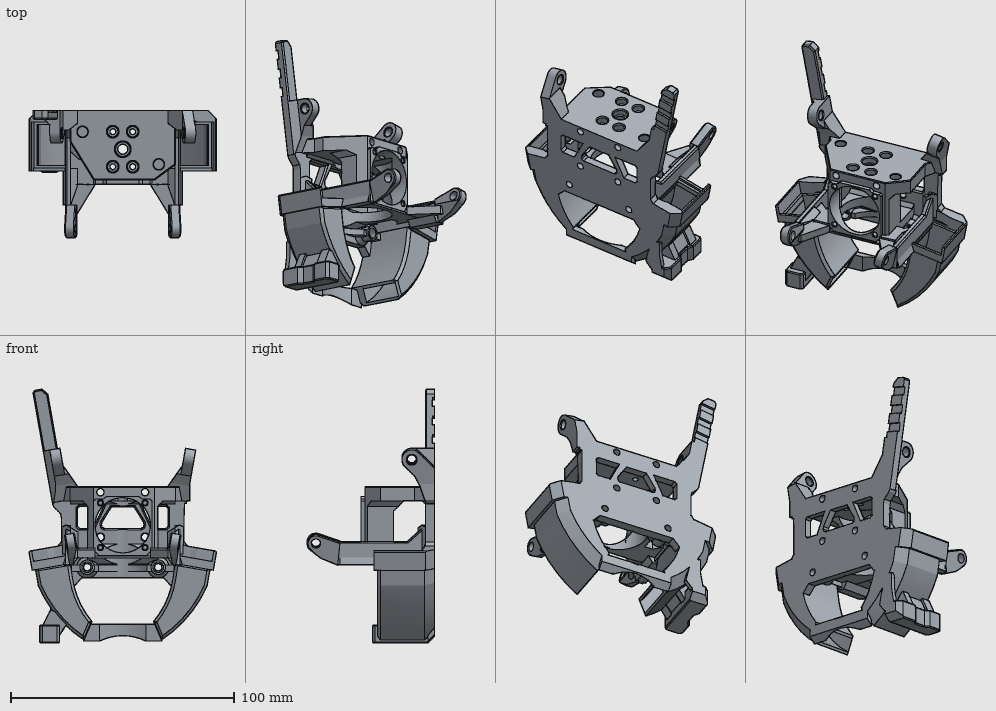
import cadquery as cq
import math


TILT = 10.0
PLATE_FRONT = -4.15
PLATE_HALF_WIDTH = 27.5
PLATE_BOTTOM = 29.2
ROOF_TOP = 70.2
ROOF_BOTTOM = 63.7
FACE_Y = -31.2
FRAME_Y = -33.0
HOUSING_HALF_WIDTH = 15.7
HOUSING_REAR = -18.3
DECK_BOTTOM = 38.2
DECK_TOP = 42.6
DECK_NOSE_Y = -33.3
DECK_NOSE_HALF_WIDTH = 12.4
HEATSINK_DIAMETER = 27.0
HEATSINK_Y = -17.4

FAN_CENTRE_Z = 52.8
FAN_BORE = 24.7
FAN_HOLE_HALF_PITCH = 10.0
SCREW_CLEARANCE = 3.2
UPPER_SCREW_Z = 67.6
LOWER_SCREW_Z = 47.5
INSERT_BORE = 4.7
WINDOW_CHAMFER = 0.7

ARM_OUTER = 25.7
ARM_INNER = 23.3
ARM_TIP_Y = -53.1
ARM_TIP_Z = 45.0
ARM_TIP_RADIUS = 4.01
PIVOT_HOLE = 4.1

RAIL_FOOT = (-31.4, 62.1)
RAIL_WIDTH = 6.5
RAIL_LENGTH = 51.74
RAIL_THICKNESS = 4.1

COLLAR_CORNER = (-42.09, 41.2)
COLLAR_WIDTH = 15.7
COLLAR_HEIGHT = 8.7
COLLAR_FRONT = -27.2
COLLAR_WALL = 1.3
DUCT_FRONT = -25.6
DUCT_WALL = 1.3
CAVITY_REAR = -6.4
CAVITY_FRONT = -24.6


def prism_y(points, front, rear=0.0):
    """Extrude an X-Z polygon from Y = rear forward to Y = front."""
    plane = cq.Workplane("XZ", origin=(0, rear, 0))
    return plane.polyline(points).close().extrude(rear - front)


def prism_z(points, bottom, top):
    """Extrude an X-Y polygon between two heights."""
    plane = cq.Workplane("XY", origin=(0, 0, bottom))
    return plane.polyline(points).close().extrude(top - bottom)


def prism_x(points, left, right):
    """Extrude a Y-Z polygon between two X positions."""
    plane = cq.Workplane("YZ", origin=(left, 0, 0))
    return plane.polyline(points).close().extrude(right - left)


def block(x_range, y_range, z_range):
    """Axis-aligned box given by its limits."""
    size = [abs(b - a) for a, b in (x_range, y_range, z_range)]
    corner = (min(x_range), min(y_range), min(z_range))
    return cq.Workplane("XY").box(*size, centered=False).translate(corner)


def cylinder_y(x, z, diameter, front, rear=0.0):
    return cq.Workplane("XZ", origin=(x, rear, z)).circle(diameter / 2).extrude(rear - front)


def cylinder_z(x, y, diameter, bottom, top):
    return cq.Workplane("XY", origin=(x, y, bottom)).circle(diameter / 2).extrude(top - bottom)


def cone_y(x, z, base_diameter, base_y, tip_diameter, tip_y):
    """Cone frustum along Y between two circles."""
    plane = cq.Workplane("XZ", origin=(x, base_y, z)).circle(base_diameter / 2)
    return plane.workplane(offset=base_y - tip_y).circle(tip_diameter / 2).loft()


def cone_z(x, y, bottom_diameter, bottom, top_diameter, top):
    """Cone frustum along Z between two circles."""
    plane = cq.Workplane("XY", origin=(x, y, bottom)).circle(bottom_diameter / 2)
    return plane.workplane(offset=top - bottom).circle(top_diameter / 2).loft()


def lean(body, pivot):
    """Place a body built at a local origin on an X-Z pivot, leaning toward -X."""
    return body.rotate((0, 0, 0), (0, 1, 0), -TILT).translate((pivot[0], 0, pivot[1]))


def mirrored(points):
    """Complete a symmetric outline from the points of its -X half."""
    return points + [(-x, y) for x, y in reversed(points)]


def both_sides(body):
    return body.union(body.mirror("YZ"))


def plate_window(points):
    """Cutter for a plate window with a chamfered front rim."""
    hole = prism_y(points, PLATE_FRONT)
    rim_plane = cq.Workplane("XZ", origin=(0, PLATE_FRONT, 0))
    rim = rim_plane.polyline(points).close().offset2D(WINDOW_CHAMFER, "intersection")
    return hole.union(rim.extrude(-WINDOW_CHAMFER, taper=45))


def rear_plate():
    outline = mirrored([
        (-17.0, PLATE_BOTTOM), (-18.4, PLATE_BOTTOM), (-21.7, 25.5), (-29.0, 30.0), (-29.0, 43.5),
        (-PLATE_HALF_WIDTH, 45.4), (-PLATE_HALF_WIDTH, 56.2), (-27.7, 62.4), (-29.0, 64.1),
        (-27.0, ROOF_TOP),
    ])
    plate = prism_y(outline, PLATE_FRONT)
    rail_corner = [RAIL_FOOT, (-27.0, 68.0), (-26.0, 56.2), (-PLATE_HALF_WIDTH, 56.2),
                   (-27.9, 58.0), (-30.7, 60.8)]
    plate = plate.union(prism_y(rail_corner, PLATE_FRONT))
    side_window = [(-19.3, 61.3), (-8.6, 61.3), (-13.3, 51.3), (-19.3, 51.3), (-20.3, 52.3), (-20.3, 60.3)]
    mirrored_window = [(-x, z) for x, z in reversed(side_window)]
    middle_window = mirrored([(-5.0, 61.0), (-9.3, 54.2), (-9.5, 53.0), (-9.2, 52.0), (-8.2, 51.4)])
    for window in (side_window, mirrored_window, middle_window):
        plate = plate.cut(plate_window(window))
    strip = 1.3
    sloped_strip = [(PLATE_FRONT, ROOF_BOTTOM), (PLATE_FRONT, ROOF_BOTTOM - strip),
                    (PLATE_FRONT - strip, ROOF_BOTTOM)]
    strip_half_length = 23.3
    return plate.union(prism_x(sloped_strip, -strip_half_length, strip_half_length))


def bottom_beam():
    """Cross beam low on the plate, with a sloped gusset under the deck."""
    beam_front = -9.5
    beam_bottom = 32.2
    beam_top = 35.0
    half_length = 22.9
    beam = block((-half_length, half_length), (PLATE_FRONT, beam_front), (beam_bottom, beam_top))
    gusset = 2.8
    slope = [(PLATE_FRONT, DECK_BOTTOM), (PLATE_FRONT, DECK_BOTTOM - gusset),
             (PLATE_FRONT - gusset, DECK_BOTTOM)]
    return beam.union(prism_x(slope, -HOUSING_HALF_WIDTH, HOUSING_HALF_WIDTH))


BOSS_X = 15.9
BOSS_Z = 34.0
BOSS_FRONT = -10.5
BOSS_DIAMETER = 6.5


def beam_boss(x):
    cone_end = -6.2
    base = cone_y(x, BOSS_Z, 2 * (BOSS_Z - PLATE_BOTTOM), PLATE_FRONT, BOSS_DIAMETER, cone_end)
    return base.union(cylinder_y(x, BOSS_Z, BOSS_DIAMETER, BOSS_FRONT))


def beam_boss_bore(x):
    bore = cylinder_y(x, BOSS_Z, SCREW_CLEARANCE, BOSS_FRONT)
    insert_depth = 4.0
    return bore.union(cylinder_y(x, BOSS_Z, INSERT_BORE, BOSS_FRONT, BOSS_FRONT + insert_depth))


ROOF_OUTLINE = [
    (-26.3, 0), (-26.3, -4.4), (-23.6, -9.0), (-23.6, -14.0), (-13.0, FACE_Y),
    (14.2, FACE_Y), (23.6, -24.3), (23.6, -9.0), (26.3, -4.4), (26.3, 0),
]


def roof():
    slab = prism_z(ROOF_OUTLINE, ROOF_BOTTOM, ROOF_TOP)
    top_bevel = 0.4
    return slab.faces(">Z").edges("not >Y").chamfer(top_bevel)


def fan_housing():
    """Block carrying the fan, trimmed to the roof outline, with gussets under the roof."""
    gusset_drop = 4.5
    side_profile = [
        (FACE_Y, DECK_BOTTOM), (FACE_Y, ROOF_BOTTOM), (HOUSING_REAR + gusset_drop, ROOF_BOTTOM),
        (HOUSING_REAR, ROOF_BOTTOM - gusset_drop), (HOUSING_REAR, DECK_BOTTOM),
    ]
    gusset_width = 2.4
    outer = HOUSING_HALF_WIDTH + gusset_width
    front_profile = mirrored([
        (-HOUSING_HALF_WIDTH, DECK_BOTTOM), (-HOUSING_HALF_WIDTH, ROOF_BOTTOM - gusset_width),
        (-outer, ROOF_BOTTOM),
    ])
    housing = prism_x(side_profile, -outer, outer).intersect(prism_y(front_profile, FACE_Y))
    return housing.intersect(prism_z(ROOF_OUTLINE, DECK_BOTTOM, ROOF_BOTTOM))


def fan_frame():
    outline = mirrored([
        (-10.6, 39.2), (-13.1, 41.7), (-13.1, 63.6), (-12.2, 64.5), (-8.8, 64.5), (-7.2, 65.7),
    ])
    return prism_y(outline, FRAME_Y, FACE_Y)


def fan_cutters():
    """Fan bore, fan screw holes and the long clearance holes through roof and plate."""
    cutters = cylinder_y(0, FAN_CENTRE_Z, FAN_BORE, FRAME_Y, HEATSINK_Y)
    screw_depth = 5.0
    screw_bore = 2.0
    countersink = 0.4
    mouth_depth = 0.3
    for x in (-FAN_HOLE_HALF_PITCH, FAN_HOLE_HALF_PITCH):
        for z in (FAN_CENTRE_Z - FAN_HOLE_HALF_PITCH, FAN_CENTRE_Z + FAN_HOLE_HALF_PITCH):
            cutters = cutters.union(cylinder_y(x, z, screw_bore, FRAME_Y, FRAME_Y + screw_depth))
            cutters = cutters.union(cone_y(x, z, screw_bore, FRAME_Y + countersink,
                                           screw_bore + 2 * countersink, FRAME_Y))
        cutters = cutters.union(cylinder_y(x, UPPER_SCREW_Z, SCREW_CLEARANCE, FACE_Y))
        cutters = cutters.union(cylinder_y(x, LOWER_SCREW_Z, SCREW_CLEARANCE, PLATE_FRONT))
        cutters = cutters.union(cone_y(x, LOWER_SCREW_Z, SCREW_CLEARANCE, PLATE_FRONT + mouth_depth,
                                       SCREW_CLEARANCE + 2 * mouth_depth, PLATE_FRONT))
    return cutters


def roof_hole(x, y, bore, counterbore, counterbore_depth, rim):
    """Stepped hole from the roof's top; rim is the chamfer width at the mouth."""
    cutter = cylinder_z(x, y, counterbore, ROOF_TOP - counterbore_depth, ROOF_TOP)
    cutter = cutter.union(cone_z(x, y, counterbore, ROOF_TOP - rim, counterbore + 2 * rim, ROOF_TOP))
    if bore:
        cutter = cutter.union(cylinder_z(x, y, bore, ROOF_BOTTOM, ROOF_TOP))
    return cutter


def roof_cutters():
    spread_x = 4.45
    spread_y = 7.85
    cutters = roof_hole(0, HEATSINK_Y, bore=4.4, counterbore=6.5, counterbore_depth=3.0, rim=0.5)
    for x in (-spread_x, spread_x):
        for y in (HEATSINK_Y - spread_y, HEATSINK_Y + spread_y):
            stepped = roof_hole(x, y, bore=2.5, counterbore=INSERT_BORE, counterbore_depth=3.5, rim=0.5)
            cutters = cutters.union(stepped)
    for x, y in ((-18.0, -9.6), (16.15, -24.2)):
        blind = roof_hole(x, y, bore=None, counterbore=INSERT_BORE, counterbore_depth=5.0, rim=0.25)
        cutters = cutters.union(blind)
    return cutters


def deck():
    """Floor around the heatsink, reaching forward as webs along the arms."""
    floor_outline = mirrored([
        (-ARM_INNER, 0), (-ARM_INNER, -34.0), (-20.0, -33.0), (-DECK_NOSE_HALF_WIDTH, DECK_NOSE_Y),
    ])
    floor = prism_z(floor_outline, DECK_BOTTOM, DECK_TOP)
    nose_top = 39.0
    nose_span = (-DECK_NOSE_HALF_WIDTH, DECK_NOSE_HALF_WIDTH)
    frame_clearance = block(nose_span, (FACE_Y, DECK_NOSE_Y), (nose_top, DECK_TOP))
    floor = floor.cut(frame_clearance)
    opening = [(-ARM_INNER, PLATE_FRONT), (-HOUSING_HALF_WIDTH, PLATE_FRONT),
               (-HOUSING_HALF_WIDTH, -22.0), (-19.5, -22.0), (-ARM_INNER, -18.5)]
    floor = floor.cut(both_sides(prism_z(opening, DECK_BOTTOM, DECK_TOP)))
    web_top = 41.8
    web = [(-ARM_INNER, -33.0), (-ARM_INNER, -47.0), (-20.2, -46.1), (-DECK_NOSE_HALF_WIDTH, DECK_NOSE_Y)]
    floor = floor.union(both_sides(prism_z(web, DECK_BOTTOM, web_top)))
    slope_top = 44.8
    slope_front = -42.4
    slope_rear = -26.0
    slope = [(-ARM_INNER, DECK_TOP), (-20.2, DECK_TOP), (-ARM_INNER, slope_top)]
    slope_plan = [(-ARM_INNER, slope_rear), (-20.0, slope_rear), (-20.0, -33.0), (-ARM_INNER, slope_front)]
    slope_body = prism_y(slope, slope_front, slope_rear)
    slope_body = slope_body.intersect(prism_z(slope_plan, DECK_TOP, slope_top))
    floor = floor.union(both_sides(slope_body))
    strip = 1.7
    strip_profile = [(PLATE_FRONT, DECK_TOP), (PLATE_FRONT - strip, DECK_TOP),
                     (PLATE_FRONT, DECK_TOP + strip)]
    return floor.union(prism_x(strip_profile, -HOUSING_HALF_WIDTH, HOUSING_HALF_WIDTH))


def arm():
    """Left front arm: thin rib along the deck ending in a leaning pivot lug."""
    knee_y = -42.3
    rib_top = 45.5
    rib_bottom = 35.1
    root_top = 52.7
    rib_profile = [
        (PLATE_FRONT, root_top), (-12.3, rib_top), (knee_y, rib_top), (knee_y - 1.0, rib_bottom),
        (-27.2, rib_bottom), (0, rib_bottom), (0, root_top),
    ]
    rib = prism_x(rib_profile, -ARM_OUTER, -ARM_INNER)
    bevel = 0.7
    upper_outer_edges = cq.selectors.BoxSelector((-ARM_OUTER - 0.1, knee_y - 1.0, rib_top - 0.1),
                                                 (-ARM_OUTER + 0.1, 0, root_top))
    rib = rib.edges(upper_outer_edges).chamfer(bevel)
    keel = prism_y([(-ARM_OUTER, DECK_BOTTOM), (-ARM_OUTER - 1.0, rib_bottom),
                    (-22.3, rib_bottom), (-20.2, DECK_BOTTOM)], knee_y, COLLAR_FRONT)
    lug_width = 4.6
    lug_bevel = 0.5
    lug_centre_x = -23.2
    diagonal = ARM_TIP_RADIUS * math.sqrt(0.5)
    top_angle = math.radians(68)
    top_point = (ARM_TIP_Y + ARM_TIP_RADIUS * math.cos(top_angle),
                 ARM_TIP_RADIUS * math.sin(top_angle))
    lug = (
        cq.Workplane("YZ", origin=(-lug_width / 2, 0, 0))
        .moveTo(*top_point)
        .threePointArc((ARM_TIP_Y - ARM_TIP_RADIUS, 0), (ARM_TIP_Y - diagonal, -diagonal))
        .lineTo(-50.8, DECK_BOTTOM - ARM_TIP_Z)
        .lineTo(knee_y - 1.0, rib_bottom - ARM_TIP_Z)
        .lineTo(knee_y, rib_top - ARM_TIP_Z)
        .close().extrude(lug_width)
    )
    for side in (-lug_width / 2, lug_width / 2):
        upper_edges = cq.selectors.BoxSelector((side - 0.1, -58.0, -1.0), (side + 0.1, -44.0, 5.0))
        lug = lug.edges(upper_edges).chamfer(lug_bevel)
    bore = cq.Workplane("YZ", origin=(-lug_width / 2, ARM_TIP_Y, 0)).circle(PIVOT_HOLE / 2).extrude(lug_width)
    lug = lug.cut(bore)
    lug = lean(lug, (lug_centre_x, ARM_TIP_Z))
    undercut = [(-20.7, 43.0), (-22.3, rib_bottom), (-19.0, rib_bottom), (-19.0, 43.0)]
    lug = lug.cut(prism_y(undercut, -58.0, knee_y + 1.0))
    duct_zone = block((-ARM_OUTER, -ARM_INNER), (0, COLLAR_FRONT), (0, 36.0))
    return rib.cut(duct_zone).union(keel).union(lug)


def arm_root():
    """Sloped-top flare joining the left arm to the rear plate."""
    plan = [(-27.3, 0), (-27.3, PLATE_FRONT), (-ARM_OUTER, -5.5), (-ARM_INNER, -7.4),
            (-20.1, PLATE_FRONT), (-20.1, 0)]
    front_outline = [(-27.3, 40.0), (-27.3, 52.0), (-25.4, 52.9), (-20.1, 49.8), (-20.1, 40.0)]
    return prism_z(plan, 40.0, 52.9).intersect(prism_y(front_outline, -8.0))


EAR_INNER_X = 2.95
EAR_WIDTH = 4.7
EAR_Y = -10.2
EAR_HEIGHT = 19.8
EAR_RADIUS = 4.45
EAR_ROOT_Y = -6.6
EAR_NECK_Y = -8.9
EAR_NECK_HEIGHT = 12.3
EAR_ROOT_HEIGHT = 7.8
EAR_FOOT_HEIGHT = 0.8


def ear_front_limit(left, right):
    """Space behind the overhanging front of ear, gusset and wedge, in the leaning frame."""
    profile = [(0, 0), (0, EAR_HEIGHT + EAR_RADIUS), (EAR_NECK_Y, EAR_HEIGHT + EAR_RADIUS),
               (EAR_NECK_Y, EAR_NECK_HEIGHT), (EAR_ROOT_Y, EAR_ROOT_HEIGHT),
               (PLATE_FRONT, EAR_FOOT_HEIGHT), (PLATE_FRONT, 0)]
    return prism_x(profile, left, right)


def upper_ear(rear_points):
    """Left leaning pivot ear rising from the roof; rear_points close its profile behind the lug."""
    diagonal = EAR_RADIUS * math.sqrt(0.5)
    ear = (
        cq.Workplane("YZ", origin=(EAR_INNER_X, 0, 0))
        .polyline([(PLATE_FRONT, 0), (0, 0)] + rear_points)
        .threePointArc((EAR_Y - EAR_RADIUS, EAR_HEIGHT), (EAR_Y - diagonal, EAR_HEIGHT - diagonal))
        .lineTo(EAR_NECK_Y, EAR_NECK_HEIGHT).lineTo(EAR_ROOT_Y, EAR_ROOT_HEIGHT)
        .lineTo(PLATE_FRONT, EAR_FOOT_HEIGHT)
        .close().extrude(EAR_WIDTH)
    )
    bore = cq.Workplane("YZ", origin=(EAR_INNER_X, EAR_Y, EAR_HEIGHT)).circle(PIVOT_HOLE / 2)
    ear = ear.cut(bore.extrude(EAR_WIDTH))
    mouth_chamfer = 0.4
    bore_zone = cq.selectors.BoxSelector((0, EAR_Y - 0.1, EAR_HEIGHT - 0.1),
                                         (EAR_INNER_X + EAR_WIDTH + 0.1, EAR_Y + 0.1, EAR_HEIGHT + 0.1))
    return lean(ear.edges(bore_zone).chamfer(mouth_chamfer), RAIL_FOOT)


def flat_topped_ear():
    ear_top = EAR_HEIGHT + EAR_RADIUS
    return upper_ear([(0, ear_top), (EAR_Y, ear_top)])


def slope_backed_ear():
    """Ear whose back rises at 45 degrees from the rear face and meets the lug tangentially."""
    diagonal = EAR_RADIUS * math.sqrt(0.5)
    tangent = (EAR_Y + diagonal, EAR_HEIGHT + diagonal)
    return upper_ear([(0, tangent[1] + tangent[0]), tangent])


def ear_gusset():
    """Left gusset between roof and ear, with the same overhanging front as the ear."""
    outline = [(-26.7, 79.5), (-20.2, ROOF_TOP), (-20.2, ROOF_BOTTOM), (-30.0, ROOF_BOTTOM), (-30.0, 76.0)]
    reach = 14.0
    return prism_y(outline, EAR_NECK_Y).intersect(lean(ear_front_limit(0, reach), RAIL_FOOT))


def rail():
    """Leaning rail with latch notches across its rear face."""
    edge_bevel = 0.6
    notch_count = 3
    wedge_rear = -3.5
    outline = [(0, 0), (RAIL_WIDTH, 0), (RAIL_WIDTH, RAIL_LENGTH - 2.7), (4.2, RAIL_LENGTH),
               (0.9, RAIL_LENGTH), (0, RAIL_LENGTH - 1.0)]
    body = prism_y(outline, -RAIL_THICKNESS).faces("<Y").edges("not <Z").chamfer(edge_bevel)
    notch_depth = 1.0
    notch_height = 3.9
    notch_pitch = 8.4
    first_notch = 43.6
    for index in range(notch_count):
        low = first_notch - index * notch_pitch
        body = body.cut(block((0, RAIL_WIDTH), (0, -notch_depth), (low, low + notch_height)))
    wedge = prism_z([(0, wedge_rear), (EAR_INNER_X, EAR_ROOT_Y), (RAIL_WIDTH, EAR_ROOT_Y),
                     (RAIL_WIDTH, wedge_rear)], 0, EAR_HEIGHT + EAR_RADIUS)
    wedge = wedge.intersect(ear_front_limit(0, RAIL_WIDTH))
    return lean(body.union(wedge), RAIL_FOOT)


DUCT_ENTRY = ((-39.2, 33.5), (-23.6, 36.2))
DUCT_BEND = ((-37.8, 25.7), (-22.4, 28.5))
DUCT_MIDDLE = ((-31.5, 14.8), (-18.4, 16.6))
DUCT_OUTLET = ((-17.3, 1.4), (-13.8, 9.7))


def narrowed(pair, wall):
    """Move both points of a pair toward each other by a wall thickness."""
    (x1, z1), (x2, z2) = pair
    share = wall / math.hypot(x2 - x1, z2 - z1)
    step_x = (x2 - x1) * share
    step_z = (z2 - z1) * share
    return (x1 + step_x, z1 + step_z), (x2 - step_x, z2 - step_z)


def duct_prism(wall, front, rear):
    entry = narrowed(DUCT_ENTRY, wall)
    bend = narrowed(DUCT_BEND, wall)
    middle = narrowed(DUCT_MIDDLE, wall)
    outlet = narrowed(DUCT_OUTLET, wall)
    return (
        cq.Workplane("XZ", origin=(0, rear, 0))
        .moveTo(*entry[0]).lineTo(*bend[0]).threePointArc(middle[0], outlet[0])
        .lineTo(*outlet[1]).threePointArc(middle[1], bend[1]).lineTo(*entry[1])
        .close().extrude(rear - front)
    )


def duct_shell():
    shell = duct_prism(0, DUCT_FRONT, 0)
    front_chamfer = 1.3
    shell = shell.faces("<Y").chamfer(front_chamfer)
    rear_chamfer = 4.5
    outer_rear_edges = cq.selectors.BoxSelector((-41.0, -0.1, 5.0), (-26.0, 0.1, 32.0))
    return shell.edges(outer_rear_edges).chamfer(rear_chamfer)


def collar():
    """Leaning socket for the blower outlet, with a low front wall and a ledge inside."""
    rear_chamfer = 4.0
    rim_bevel = 0.5
    plan = [(0, -rear_chamfer), (0, COLLAR_FRONT), (COLLAR_WIDTH, COLLAR_FRONT), (COLLAR_WIDTH, 0),
            (rear_chamfer, 0)]
    socket = prism_z(plan, -COLLAR_HEIGHT, 0)
    socket = socket.faces(">Z").edges("<X").chamfer(rim_bevel)
    return lean(socket, COLLAR_CORNER)


def collar_recess():
    recess_rear = -5.2
    front_wall_drop = 4.9
    ledge_drop = 6.0
    step_start = 8.5
    step_end = 11.3
    step_rear = recess_rear + 0.8
    plan = [(COLLAR_WALL, recess_rear), (step_start, recess_rear), (step_end, step_rear),
            (COLLAR_WIDTH, step_rear), (COLLAR_WIDTH, COLLAR_FRONT), (COLLAR_WALL, COLLAR_FRONT)]
    recess = prism_z(plan, -front_wall_drop, 0)
    recess = recess.union(block((COLLAR_WALL, COLLAR_WIDTH), (recess_rear, COLLAR_FRONT + COLLAR_WALL),
                                (-ledge_drop, 0)))
    throat_start = 2.6
    throat_end = COLLAR_WIDTH - 0.3
    throat = block((throat_start, throat_end), (CAVITY_REAR, CAVITY_FRONT), (-COLLAR_HEIGHT, 0))
    return lean(recess.union(throat), COLLAR_CORNER)


def nozzle_bridge():
    """Thin bridge between the duct outlets, hollowed toward the nozzle."""
    front = -2.9
    bottom = 0.9
    top = 8.5
    rear_skin = 0.5
    arch_radius = 23.4
    profile = [(front, bottom), (front, top), (0, top), (0, bottom - front)]
    half_length = 17.5
    bridge = prism_x(profile, -half_length, half_length)
    return bridge.cut(cylinder_z(0, -rear_skin - arch_radius, 2 * arch_radius, bottom, top))


def foot():
    outer = -37.2
    inner = -28.3
    waist = -35.6
    front = -27.8
    height = 8.2
    corner = 1.2
    heel = 2.4
    plan = [(outer + heel, 0), (outer, -heel), (outer, -10.4), (waist, -12.6), (waist, -18.0), (outer, -20.2),
            (outer, front + corner), (outer + corner, front), (inner - corner, front),
            (inner, front + corner), (inner, 0)]
    pad = prism_z(plan, 0, height)
    edge_bevel = 0.5
    pad = pad.faces("<Z or >Z").chamfer(edge_bevel)
    toe = 3.1
    pad = pad.cut(prism_x([(0, 0), (-toe, 0), (0, toe)], outer, inner))
    strut_outline = [(-35.7, height), (-32.3, 15.0), (-29.0, 13.5), (-25.0, 8.5), (inner, 3.5), (-34.0, 4.0)]
    struts = prism_y(strut_outline, -11.0, -7.5).union(prism_y(strut_outline, -24.8, -20.2))
    core_outline = [(-34.6, height), (-31.6, 14.0), (-29.0, 13.5), (-25.0, 8.5), (inner, 4.5), (-33.0, 4.0)]
    rear_panel = [(-33.5, height), (-32.3, 15.0), (-32.3, 22.0), (-28.0, 22.0), (-25.0, height),
                  (inner, 4.5), (-34.0, 4.0)]
    pad = pad.union(struts).union(prism_y(core_outline, -21.0, -10.0))
    return pad.union(prism_y(rear_panel, -2.0))


body = rear_plate().union(bottom_beam()).union(roof()).union(fan_housing()).union(deck())
body = body.union(beam_boss(-BOSS_X)).union(beam_boss(BOSS_X))
body = body.cut(cylinder_z(0, HEATSINK_Y, HEATSINK_DIAMETER, PLATE_BOTTOM, ROOF_BOTTOM))
body = body.union(fan_frame()).cut(fan_cutters()).cut(roof_cutters())
body = body.cut(beam_boss_bore(-BOSS_X)).cut(beam_boss_bore(BOSS_X))

body = body.union(both_sides(ear_gusset())).union(rail())
body = body.union(flat_topped_ear()).union(slope_backed_ear().mirror("YZ"))
body = body.union(both_sides(duct_shell().union(collar()))).union(foot())
body = body.cut(both_sides(collar_recess().union(duct_prism(DUCT_WALL, CAVITY_FRONT, CAVITY_REAR))))
result = body.union(both_sides(arm().union(arm_root()))).union(nozzle_bridge())